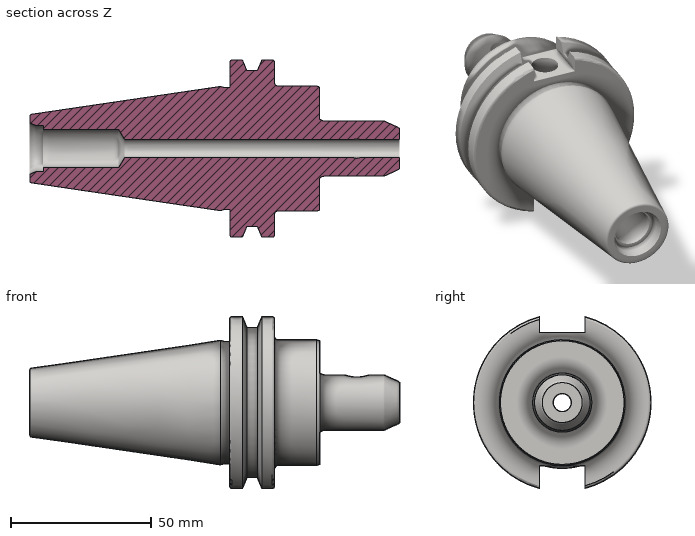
import cadquery as cq
import math

total_length = 131.8
taper_end = 67.9
neck_start = 69.3
flange_start = 71.1
flange_end = 87.2
body_end = 103.3
shank_lead_start = 126.2
shank_lead_end = 130.8

taper_small_dia = 24.6
taper_large_dia = 44.4
neck_dia = 43.6
flange_dia = 63.2
body_dia = 44.8
shank_dia = 19.8
shank_lead_dia = 15.5
shank_tip_dia = 14.2

groove_floor_dia = 55.9
groove_floor_width = 3.7
groove_top_width = 6.9
flange_middle = (flange_start + flange_end) / 2

taper_edge = 0.8
flange_edge = 0.9
body_edge_length = 1.2
body_edge_depth = 0.4
body_root_radius = 1.0
shank_root_length = 2.0
shank_root_height = 0.7
shank_lead_blend = 0.3

slot_width = 16.1
top_slot_height = 25.0
bottom_slot_height = 22.5
slot_hole_dia = 9.5
slot_hole_depth = 6.6
drill_half_angle = math.radians(59)

bore_mouth_dia = 18.2
bore_mouth_depth = 2.1
bore_pilot_dia = 16.3
bore_pilot_depth = 4.7
bore_dia = 13.5
bore_depth = 31.6
coolant_dia = 6.3

cross_hole_x = 116.5
cross_hole_dia = 6.7
cross_hole_mouth_dia = 8.7
cross_hole_mouth_depth = 1.3


def cone_length(diameter):
    """Length of the pointed bottom left by a drill of this diameter."""
    return diameter / 2 / math.tan(drill_half_angle)


def make_body():
    """Revolve the taper, flange, collar and shank around the X axis."""
    flange_radius = flange_dia / 2
    body_radius = body_dia / 2
    shank_radius = shank_dia / 2

    shank_root_radius = (shank_root_length**2 + shank_root_height**2) / (2 * shank_root_height)

    lead_angle = math.atan2(shank_radius - shank_lead_dia / 2, shank_lead_end - shank_lead_start)
    lead_blend_end = (
        shank_lead_start + shank_lead_blend * math.cos(lead_angle),
        shank_radius - shank_lead_blend * math.sin(lead_angle),
    )

    profile = (
        cq.Workplane("XY")
        .lineTo(0, taper_small_dia / 2 - taper_edge)
        .radiusArc((taper_edge, taper_small_dia / 2), taper_edge)
        .lineTo(taper_end, taper_large_dia / 2)
        .lineTo(neck_start, neck_dia / 2)
        .lineTo(flange_start, neck_dia / 2)
        .lineTo(flange_start, flange_radius - flange_edge)
        .radiusArc((flange_start + flange_edge, flange_radius), flange_edge)
        .lineTo(flange_middle - groove_top_width / 2, flange_radius)
        .lineTo(flange_middle - groove_floor_width / 2, groove_floor_dia / 2)
        .lineTo(flange_middle + groove_floor_width / 2, groove_floor_dia / 2)
        .lineTo(flange_middle + groove_top_width / 2, flange_radius)
        .lineTo(flange_end - flange_edge, flange_radius)
        .radiusArc((flange_end, flange_radius - flange_edge), flange_edge)
        .lineTo(flange_end, body_radius + body_root_radius)
        .radiusArc((flange_end + body_root_radius, body_radius), -body_root_radius)
        .lineTo(body_end - body_edge_length, body_radius)
        .lineTo(body_end, body_radius - body_edge_depth)
        .lineTo(body_end, shank_radius + shank_root_height)
        .radiusArc((body_end + shank_root_length, shank_radius), -shank_root_radius)
        .lineTo(shank_lead_start - shank_lead_blend, shank_radius)
        .tangentArcPoint(lead_blend_end, relative=False)
        .lineTo(shank_lead_end, shank_lead_dia / 2)
        .tangentArcPoint((total_length, shank_tip_dia / 2), relative=False)
        .lineTo(total_length, 0)
        .close()
    )
    return profile.revolve(360, (0, 0, 0), (1, 0, 0))


def make_bore():
    """Chamfered mouth, pilot, main bore with drill point, and coolant hole."""
    coolant_radius = coolant_dia / 2
    point_end = bore_depth + cone_length(bore_dia) - cone_length(coolant_dia)
    profile = (
        cq.Workplane("XY")
        .lineTo(0, bore_mouth_dia / 2)
        .lineTo(bore_mouth_depth, bore_pilot_dia / 2)
        .lineTo(bore_pilot_depth, bore_pilot_dia / 2)
        .lineTo(bore_pilot_depth, bore_dia / 2)
        .lineTo(bore_depth, bore_dia / 2)
        .lineTo(point_end, coolant_radius)
        .lineTo(total_length, coolant_radius)
        .lineTo(total_length, 0)
        .close()
    )
    return profile.revolve(360, (0, 0, 0), (1, 0, 0))


def make_slot(floor_height, side):
    """Drive slot across the flange; side is +1 for the top, -1 for the bottom."""
    slot_depth = flange_dia / 2 - floor_height
    return (
        cq.Workplane("XY")
        .box(flange_end - flange_start, slot_width, slot_depth)
        .translate((flange_middle, 0, side * (floor_height + slot_depth / 2)))
    )


def make_slot_hole():
    """Blind drilled hole in the floor of the top slot."""
    wall_bottom = top_slot_height - slot_hole_depth
    profile = (
        cq.Workplane("XZ")
        .moveTo(0, top_slot_height)
        .lineTo(slot_hole_dia / 2, top_slot_height)
        .lineTo(slot_hole_dia / 2, wall_bottom)
        .lineTo(0, wall_bottom - cone_length(slot_hole_dia))
        .close()
    )
    hole = profile.revolve(360, (0, 0, 0), (0, 1, 0))
    return hole.translate((flange_middle, 0, 0))


def make_cross_hole():
    """Countersunk hole from the top of the shank into the coolant hole."""
    shank_top = shank_dia / 2
    profile = (
        cq.Workplane("XZ")
        .lineTo(cross_hole_dia / 2, 0)
        .lineTo(cross_hole_dia / 2, shank_top - cross_hole_mouth_depth)
        .lineTo(cross_hole_mouth_dia / 2, shank_top)
        .lineTo(0, shank_top)
        .close()
    )
    hole = profile.revolve(360, (0, 0, 0), (0, 1, 0))
    return hole.translate((cross_hole_x, 0, 0))


result = (
    make_body()
    .cut(make_bore())
    .cut(make_slot(top_slot_height, 1))
    .cut(make_slot(bottom_slot_height, -1))
    .cut(make_slot_hole())
    .cut(make_cross_hole())
)